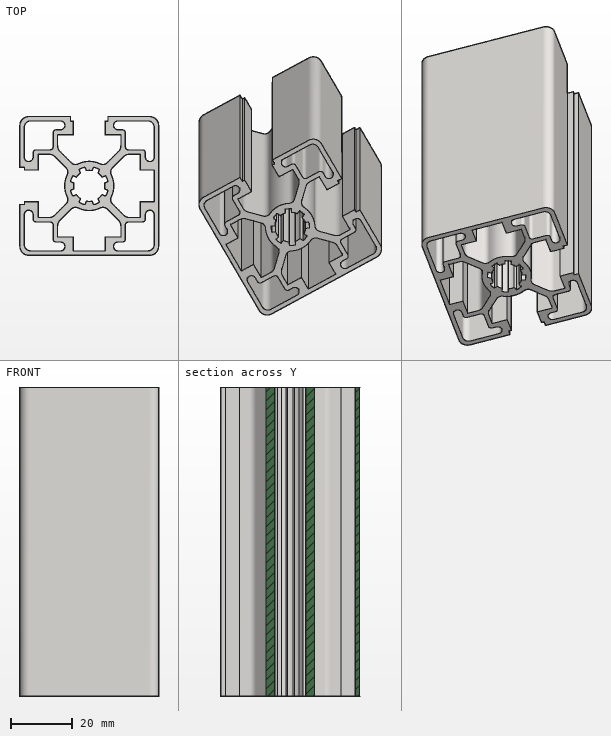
import cadquery as cq
import math

side = 45.0
length = 100.0
outer_radius = 3.0
half_side = side / 2

wall = 1.5
inner_face = half_side - wall

slot_half_width = 5.1
mouth_half_width = 6.0
lip_depth = 6.0
lip_inner_face = half_side - lip_depth
chamber_half_width = 10.2

rib_thickness = 2.4
shoulder_fillet = 2.5
core_fillet = 2.0

pocket_corner_radius = 2.0
pocket_tip = 7.9
pocket_inner = chamber_half_width + wall
pocket_step = 18.2
pocket_bend_radius = 1.0

core_radius = 8.0
bore_radius = 5.0
groove_radius = 6.2
groove_width = 2.0
groove_count = 8


def prism(outline):
    """Extrude a closed outline over the full length."""
    return outline.close().extrude(length)


def fillet_edges(body, is_chosen, radius):
    """Round the lengthwise edges that pass a test."""
    chosen = body.edges("|Z").filter(is_chosen).vals()
    return body.newObject(chosen).fillet(radius)


def turned(body, angle):
    """Turn a body about the profile's centre line."""
    return body.rotate((0, 0, 0), (0, 0, 1), angle)


def slot_cutter():
    """T-slot on the +Y side, ending at the inner face of the outer wall."""
    flank_offset = rib_thickness / math.sqrt(2)
    chamber_end = chamber_half_width + flank_offset
    half_outline = [
        (slot_half_width, inner_face),
        (slot_half_width, lip_inner_face),
        (chamber_half_width, lip_inner_face),
        (chamber_half_width, chamber_end),
        (0, flank_offset),
    ]
    mirrored = [(-x, y) for x, y in reversed(half_outline[:-1])]
    slot = prism(cq.Workplane("XY").polyline(half_outline + mirrored))
    core = cq.Workplane("XY").circle(core_radius).extrude(length)
    slot = slot.cut(core)

    def at_shoulder(edge):
        return math.isclose(edge.Center().y, chamber_end)

    def at_core(edge):
        return edge.Center().y < core_radius

    slot = fillet_edges(slot, at_shoulder, shoulder_fillet)
    return fillet_edges(slot, at_core, core_fillet)


def mouth_cutter():
    """Opening through the outer wall over the slot on the +Y side."""
    return (
        cq.Workplane("XY")
        .center(0, half_side - wall / 2)
        .rect(2 * mouth_half_width, wall)
        .extrude(length)
    )


def pocket_cutter():
    """L-shaped hollow in the +X +Y corner with round-ended arms."""
    tip_radius = (inner_face - pocket_step) / 2
    arm_end = pocket_tip + tip_radius
    arm_middle = pocket_step + tip_radius
    pocket = prism(
        cq.Workplane("XY")
        .moveTo(inner_face, inner_face)
        .lineTo(arm_end, inner_face)
        .threePointArc((pocket_tip, arm_middle), (arm_end, pocket_step))
        .lineTo(pocket_inner, pocket_step)
        .lineTo(pocket_inner, pocket_inner)
        .lineTo(pocket_step, pocket_inner)
        .lineTo(pocket_step, arm_end)
        .threePointArc((arm_middle, pocket_tip), (inner_face, arm_end))
    )

    def at_outer_corner(edge):
        return min(edge.Center().x, edge.Center().y) > pocket_step

    def at_bend(edge):
        low, high = sorted((edge.Center().x, edge.Center().y))
        return math.isclose(low, pocket_inner) and high < inner_face

    pocket = fillet_edges(pocket, at_outer_corner, pocket_corner_radius)
    return fillet_edges(pocket, at_bend, pocket_bend_radius)


def bore_cutter():
    """Round bore with evenly spaced grooves, a tooth centred on each axis."""
    bore = cq.Workplane("XY").circle(bore_radius).extrude(length)
    pitch = 360 / groove_count
    groove = (
        cq.Workplane("XY")
        .center(groove_radius / 2, 0)
        .rect(groove_radius, groove_width)
        .extrude(length)
        .intersect(cq.Workplane("XY").circle(groove_radius).extrude(length))
    )
    for index in range(groove_count):
        bore = bore.union(turned(groove, (index + 0.5) * pitch))
    return bore


result = cq.Workplane("XY").rect(side, side).extrude(length).edges("|Z").fillet(outer_radius)

slot = slot_cutter()
pocket = pocket_cutter()
for angle in (0, 90, 180, 270):
    result = result.cut(turned(slot, angle)).cut(turned(pocket, angle))

mouth = mouth_cutter()
for angle in (0, 90):
    result = result.cut(turned(mouth, angle))

result = result.cut(bore_cutter())